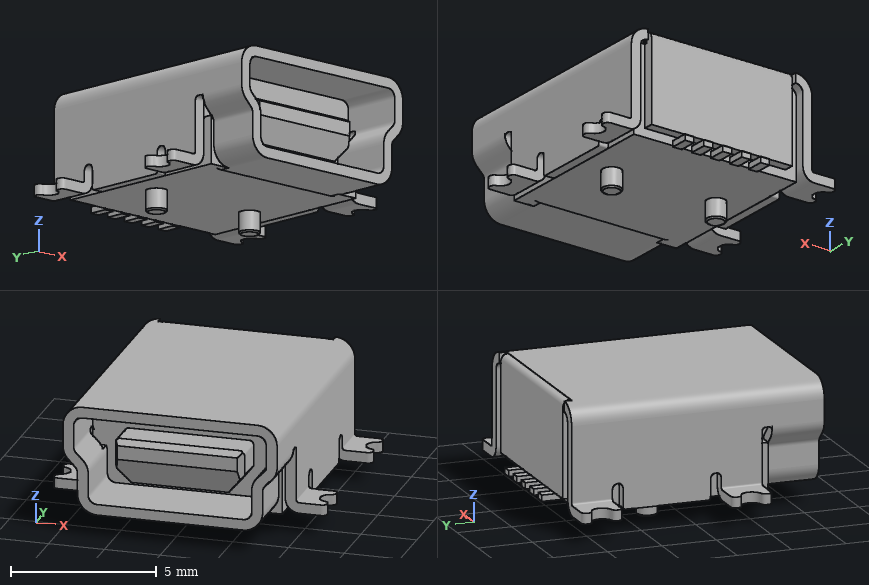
import cadquery as cq
import math

wall = 0.39
body_half = 3.84
body_length = 9.29
shell_bottom = 0.05
shell_top = 3.94
inner_half = body_half - wall
inner_top = shell_top - wall

tunnel_length = 1.92
tunnel_end = 2.29
tunnel_low_half = 3.32
corner_radius = 0.71
shoulder_top = 2.45
shoulder_angle = math.radians(45)
shoulder_upper_radius = 0.68
shoulder_lower_radius = 0.27

leg_length = 1.5
front_leg_start = tunnel_end
rear_leg_start = body_length - leg_length
slot_width = 0.39
slot_top = 1.0
step_window_radius = 0.15
step_window_inner = 2.84
step_window_sill = 1.77
panel_corner_radius = 0.09

foot_reach = 4.9
foot_bend_radius = 0.1
foot_outer_bend = foot_bend_radius + wall
foot_notch_radius = 0.37
foot_notch_inset = 0.05
foot_prong_radius = 0.18

flap_half = 2.99
flap_bottom = 0.39
flap_bend_radius = 0.27
flap_notch_half = 3.14
flap_notch_start = 9.03
flap_inner_face = body_length - wall

tongue_front = 0.88
tongue_taper_length = 0.32
tongue_half = 2.31
tongue_tip_half = 2.15
tongue_low_half = 1.74
tongue_top = 2.49
tongue_tip_top = 2.33
tongue_tip_bottom = 1.83
tongue_side_bottom = 1.58
tongue_bottom = 0.92
tongue_edge_radius = 0.16

terminal_count = 5
terminal_pitch = 0.8
terminal_width = 0.37
terminal_thickness = 0.24
terminal_end = 9.6
peg_radius = 0.37
peg_offset = 2.21
peg_y = 5.91
peg_bottom = -0.71
peg_chamfer = 0.06


def block(x0, x1, y0, y1, z0, z1):
    """Box between two opposite corners."""
    return cq.Workplane("XY").box(x1 - x0, y1 - y0, z1 - z0, centered=False).translate((x0, y0, z0))


def both_sides(solid):
    """The solid together with its mirror image across the symmetry plane."""
    return solid.union(solid.mirror("YZ"))


def tunnel_prism(inset, length):
    """Prism from the mating face back, with the tunnel outline moved inwards by inset."""
    half = body_half - inset
    low_half = tunnel_low_half - inset
    top = shell_top - inset
    bottom = shell_bottom + inset
    corner = corner_radius - inset
    upper_radius = shoulder_upper_radius - inset
    lower_radius = shoulder_lower_radius + inset

    bend_in = 1 - math.cos(shoulder_angle)
    bend_down = math.sin(shoulder_angle)
    slope_start = (half - upper_radius * bend_in, shoulder_top - upper_radius * bend_down)
    slope_end_x = low_half + lower_radius * bend_in
    slope_end_z = slope_start[1] - (slope_start[0] - slope_end_x) * math.tan(shoulder_angle)
    shoulder_bottom = slope_end_z - lower_radius * bend_down

    outline = (
        cq.Workplane("XZ")
        .moveTo(0, top)
        .lineTo(half - corner, top)
        .tangentArcPoint((half, top - corner), relative=False)
        .lineTo(half, shoulder_top)
        .tangentArcPoint(slope_start, relative=False)
        .lineTo(slope_end_x, slope_end_z)
        .tangentArcPoint((low_half, shoulder_bottom), relative=False)
        .lineTo(low_half, bottom + corner)
        .tangentArcPoint((low_half - corner, bottom), relative=False)
        .lineTo(0, bottom)
        .mirrorY()
    )
    return outline.extrude(-length)


def core_block(start, end):
    """Block that fills the space under the top plate, between the side walls."""
    core = block(-inner_half, inner_half, start, end, shell_bottom, inner_top)
    return core.edges("|Y and >Z").fillet(corner_radius - wall)


def leg_slot(start):
    """Round-topped slot through both side walls."""
    end_radius = slot_width / 2
    end_height = slot_top - end_radius
    slot = block(-body_half, body_half, start, start + slot_width, shell_bottom, end_height)
    round_end = (
        cq.Workplane("YZ")
        .center(start + end_radius, end_height)
        .circle(end_radius)
        .extrude(body_half, both=True)
    )
    return slot.union(round_end)


def step_window():
    """Windows beside the tunnel end: low down through the side wall, higher up through the shoulder."""
    window = block(step_window_inner, body_half, tunnel_length, tunnel_end, step_window_sill, shoulder_top)
    window = window.edges("|X and >Z").fillet(step_window_radius)
    side_gap = block(inner_half, body_half, tunnel_length, tunnel_end, shell_bottom, step_window_sill)
    return both_sides(window.union(side_gap))


def solder_foot(leg_start):
    """Foot on the +X side: a bend below the leg, then a flat pad with a rounded notch."""
    leg_middle = leg_start + leg_length / 2
    bend_end = inner_half + foot_outer_bend
    bend = (
        cq.Workplane("XZ", origin=(0, leg_start, 0))
        .moveTo(body_half, foot_outer_bend)
        .lineTo(inner_half, foot_outer_bend)
        .radiusArc((bend_end, 0), -foot_outer_bend)
        .lineTo(bend_end, wall)
        .radiusArc((body_half, foot_outer_bend), foot_bend_radius)
        .close()
        .extrude(-leg_length)
    )
    pad = block(bend_end, foot_reach, leg_start, leg_start + leg_length, 0, wall)
    notch = (
        cq.Workplane("XY")
        .center(foot_reach - foot_notch_inset, leg_middle)
        .circle(foot_notch_radius)
        .extrude(wall)
    )
    pad = pad.cut(notch).edges("|Z and >X").fillet(foot_prong_radius)
    return bend.union(pad)


def rear_cover():
    """Top plate and side walls behind the tunnel, with the slots and the room for the bends."""
    cover = block(-body_half, body_half, tunnel_length, body_length, shell_bottom, shell_top)
    cover = cover.edges("|Y and >Z").fillet(corner_radius)
    cover = cover.cut(core_block(tunnel_length, body_length))
    cover = cover.cut(step_window())
    cover = cover.cut(leg_slot(front_leg_start + leg_length))
    cover = cover.cut(leg_slot(rear_leg_start - slot_width))
    for start in (front_leg_start, rear_leg_start):
        end = start + leg_length
        cover = cover.cut(block(-body_half, body_half, start, end, shell_bottom, foot_outer_bend))
    cover = cover.edges("|X").edges("<Z").fillet(panel_corner_radius)
    return cover.cut(
        block(-flap_notch_half, flap_notch_half, flap_notch_start, body_length, shell_bottom, shell_top)
    )


def rear_flap():
    """Plate that closes the back, rounded where it bends down from the top."""
    flap = block(-flap_half, flap_half, flap_inner_face, body_length, flap_bottom, shell_top)
    return flap.edges("|X and >Y and >Z").fillet(flap_bend_radius)


def make_shell():
    """Sheet-metal shell: tunnel, rear cover, flap and four solder feet."""
    tunnel = tunnel_prism(0, tunnel_end).cut(tunnel_prism(wall, tunnel_end))
    tunnel = tunnel.cut(step_window())
    shell = tunnel.union(rear_cover()).union(rear_flap())
    for start in (front_leg_start, rear_leg_start):
        shell = shell.union(both_sides(solder_foot(start)))
    return shell


def make_tongue():
    """Tongue with a tapered tip, as the common volume of its three outlines."""
    root = tunnel_end
    taper_end = tongue_front + tongue_taper_length
    cross_section = (
        cq.Workplane("XZ")
        .polyline([
            (-tongue_half, tongue_top),
            (tongue_half, tongue_top),
            (tongue_half, tongue_side_bottom),
            (tongue_low_half, tongue_bottom),
            (-tongue_low_half, tongue_bottom),
            (-tongue_half, tongue_side_bottom),
        ])
        .close()
        .extrude(-root)
        .edges("|Y and >Z")
        .fillet(tongue_edge_radius)
    )
    side_outline = (
        cq.Workplane("YZ")
        .polyline([
            (tongue_front, tongue_tip_bottom),
            (tongue_front, tongue_tip_top),
            (taper_end, tongue_top),
            (root, tongue_top),
            (root, tongue_bottom),
            (taper_end, tongue_bottom),
        ])
        .close()
        .extrude(tongue_half, both=True)
    )
    plan_outline = (
        cq.Workplane("XY")
        .polyline([
            (-tongue_tip_half, tongue_front),
            (tongue_tip_half, tongue_front),
            (tongue_half, taper_end),
            (tongue_half, root),
            (-tongue_half, root),
            (-tongue_half, taper_end),
        ])
        .close()
        .extrude(tongue_top)
    )
    return cross_section.intersect(side_outline).intersect(plan_outline)


def make_terminal(index):
    """Flat terminal end that leaves the back of the housing under the flap."""
    middle = (index - (terminal_count - 1) / 2) * terminal_pitch
    left = middle - terminal_width / 2
    return block(left, left + terminal_width, flap_inner_face, terminal_end, 0, terminal_thickness)


def make_peg():
    """Locating peg on the +X side, below the housing."""
    peg = cq.Workplane("XY", origin=(peg_offset, peg_y, peg_bottom)).circle(peg_radius)
    return peg.extrude(shell_bottom - peg_bottom).faces("<Z").chamfer(peg_chamfer)


def make_housing():
    """Insulator behind the tunnel and beside its end, with tongue, terminals and pegs."""
    housing = core_block(tunnel_length, flap_inner_face)
    housing = housing.cut(tunnel_prism(0, tunnel_end)).cut(step_window())
    housing = housing.union(make_tongue())
    for index in range(terminal_count):
        housing = housing.union(make_terminal(index))
    return housing.union(both_sides(make_peg()))


shell = make_shell()
housing = make_housing()
result = cq.Compound.makeCompound([shell.solids().val(), housing.solids().val()])